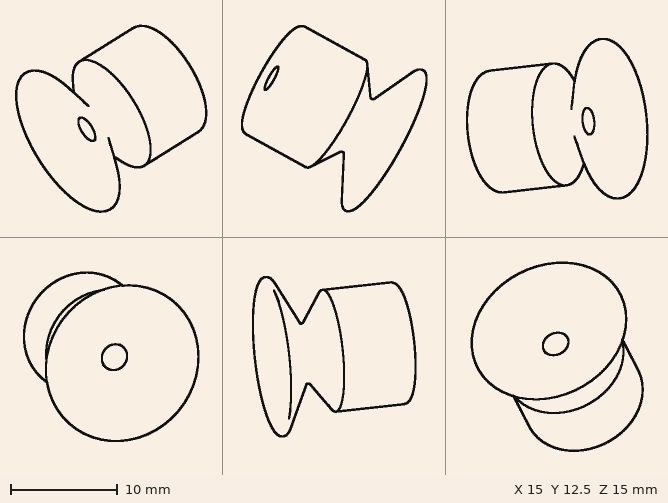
import cadquery as cq
import math

length = 12.51
cup_radius = 7.52
rim_round = 0.21

body_radius = 5.75
body_length = 7.01
body_edge_round = 0.5

neck_radius = 2.85
neck_round = 0.44
neck_position = 3.16

hole_radius = 1.25
cup_depth = 2.5


def tangent_points(start, start_round, end, end_round):
    """Ends of a straight flank tangent to two circles in the (radius, Y) plane.

    The material lies to the right of travel. A round is positive for a convex
    corner, negative for a hollow one and zero for a sharp corner.
    """
    step_r = end[0] - start[0]
    step_y = end[1] - start[1]
    direction = math.atan2(step_y, step_r)
    offset = math.acos((start_round - end_round) / math.hypot(step_r, step_y))
    normal_r = math.cos(direction + offset)
    normal_y = math.sin(direction + offset)
    return (
        (start[0] + start_round * normal_r, start[1] + start_round * normal_y),
        (end[0] + end_round * normal_r, end[1] + end_round * normal_y),
    )


body_corner = (body_radius, length - body_length)
neck_center = (neck_radius + neck_round, neck_position)
rim_center = (cup_radius - rim_round, rim_round)
cup_bottom = (hole_radius, cup_depth)

_, taper_end = tangent_points(body_corner, 0, neck_center, -neck_round)
cup_start, cup_end = tangent_points(neck_center, -neck_round, rim_center, rim_round)
inside_start, _ = tangent_points(rim_center, rim_round, cup_bottom, 0)

edge_inset = body_edge_round * (1 - math.sqrt(0.5))

result = (
    cq.Workplane("XY")
    .moveTo(hole_radius, length)
    .lineTo(body_radius - body_edge_round, length)
    .threePointArc((body_radius - edge_inset, length - edge_inset), (body_radius, length - body_edge_round))
    .lineTo(*body_corner)
    .lineTo(*taper_end)
    .threePointArc((neck_radius, neck_position), cup_start)
    .lineTo(*cup_end)
    .threePointArc((cup_radius, rim_round), inside_start)
    .lineTo(*cup_bottom)
    .close()
    .revolve(360, (0, 0, 0), (0, 1, 0))
)